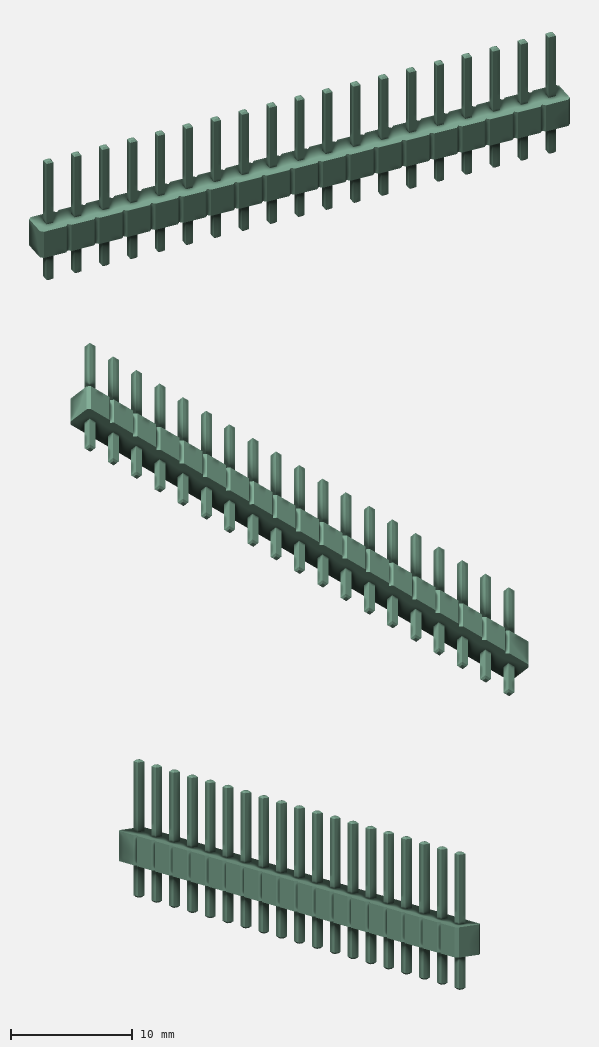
import cadquery as cq

pin_count = 19
pitch = 2.54
body_width = 2.54
body_height = 2.54
body_chamfer = 0.25

pin_width = 0.64
pin_above = 6.0
pin_below = 3.0
pin_tip_chamfer = 0.15


def housing_cell(y):
    """One insulator block, standing on Z = 0, with chamfered vertical edges."""
    block = cq.Workplane("XY").box(body_width, pitch, body_height, centered=(True, True, False))
    return block.edges("|Z").chamfer(body_chamfer).translate((0, y, 0))


def pin(y):
    """One square pin running through the block, chamfered around both tips."""
    pin_length = pin_below + body_height + pin_above
    bar = cq.Workplane("XY").box(pin_width, pin_width, pin_length, centered=(True, True, False))
    return bar.faces("<Z or >Z").edges().chamfer(pin_tip_chamfer).translate((0, y, -pin_below))


row_start = -(pin_count - 1) * pitch / 2
result = cq.Workplane("XY")
for index in range(pin_count):
    pin_y = row_start + index * pitch
    result = result.union(housing_cell(pin_y)).union(pin(pin_y))
result = result.clean()